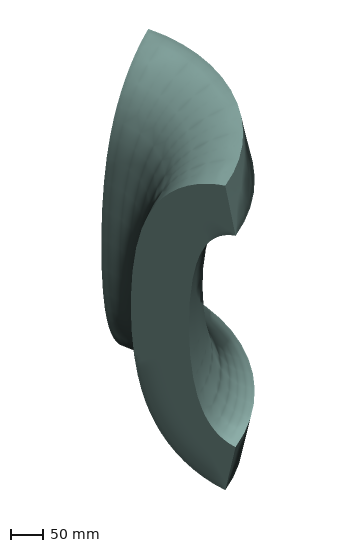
import cadquery as cq
import math

MAJOR_RADIUS = 330.0
MINOR_RADIUS = 113.0
ELONGATION = 1.84
TRIANGULARITY = 0.33

GAP = 16.0
THICKNESS = 100.0
START_ANGLE = math.radians(95.0)
STOP_ANGLE = math.radians(265.0)
SWEEP_ANGLE = 90.0
CURVE_STEPS = 48


def offset_point(t, distance):
    """Point at the given outward normal distance from the D-shape."""
    skewed = t + TRIANGULARITY * math.sin(t)
    radius = MAJOR_RADIUS + MINOR_RADIUS * math.cos(skewed)
    height = ELONGATION * MINOR_RADIUS * math.sin(t)

    radius_rate = -MINOR_RADIUS * math.sin(skewed) * (1 + TRIANGULARITY * math.cos(t))
    height_rate = ELONGATION * MINOR_RADIUS * math.cos(t)
    speed = math.hypot(radius_rate, height_rate)

    return (
        radius + distance * height_rate / speed,
        height - distance * radius_rate / speed,
    )


def offset_curve(distance):
    """Points from the upper end to the lower end at a constant normal distance."""
    step = (STOP_ANGLE - START_ANGLE) / CURVE_STEPS
    return [offset_point(START_ANGLE + i * step, distance) for i in range(CURVE_STEPS + 1)]


def shell_section():
    """Closed section in the XZ plane, with straight ends normal to the D-shape."""
    concave_face = offset_curve(GAP)
    back_face = offset_curve(GAP + THICKNESS)
    back_face.reverse()
    return (
        cq.Workplane("XZ")
        .moveTo(*concave_face[0])
        .spline(concave_face[1:], includeCurrent=True)
        .lineTo(*back_face[0])
        .spline(back_face[1:], includeCurrent=True)
        .close()
    )


result = shell_section().revolve(SWEEP_ANGLE, (0, 0), (0, 1))